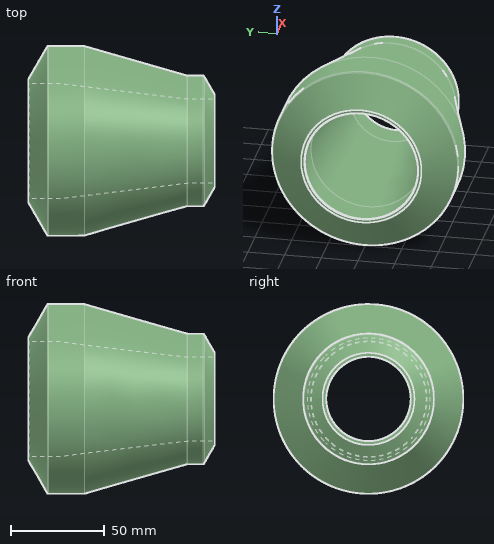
import cadquery as cq
import math

length = 100.0
large_diameter = 101.6
small_diameter = 70.0
large_bore = 61.6
small_bore = 45.0
corner_radius = 0.8
neck_radius = 1.2
root_face = 2.0
mouth_chamfer = 0.3
small_root_face = 2.1
bevel_angle = 30.0
taper_start = 30.1
taper_end = 85.0
bore_taper_start = 16.8
bore_taper_end = 85.0

large_radius = large_diameter / 2
small_radius = small_diameter / 2
large_face_radius = large_bore / 2 + root_face
small_face_radius = small_bore / 2 + small_root_face
bevel_slope = math.tan(math.radians(bevel_angle))
large_bevel_length = (large_radius - large_face_radius) * bevel_slope
small_bevel_length = (small_radius - small_face_radius) * bevel_slope


def round_ring(solid, x, radius, fillet_radius):
    """Round the circular outer edge of the given radius that lies at x."""
    margin = 0.1
    selection = cq.selectors.BoxSelector(
        (x - margin, -radius - margin, -radius - margin),
        (x + margin, radius + margin, radius + margin),
        boundingbox=True,
    )
    ring = solid.edges(selection).edges(cq.selectors.RadiusNthSelector(-1))
    return ring.fillet(fillet_radius)


section = (
    cq.Workplane("XY")
    .moveTo(0, large_face_radius)
    .lineTo(large_bevel_length, large_radius)
    .lineTo(taper_start, large_radius)
    .lineTo(taper_end, small_radius)
    .lineTo(length - small_bevel_length, small_radius)
    .lineTo(length, small_face_radius)
    .lineTo(length, small_bore / 2)
    .lineTo(bore_taper_end, small_bore / 2)
    .lineTo(bore_taper_start, large_bore / 2)
    .lineTo(mouth_chamfer, large_bore / 2)
    .lineTo(0, large_bore / 2 + mouth_chamfer)
    .close()
)
body = section.revolve(360, (0, 0, 0), (1, 0, 0))

result = round_ring(body, large_bevel_length, large_radius, corner_radius)
result = round_ring(result, taper_end, small_radius, neck_radius)
result = round_ring(result, length - small_bevel_length, small_radius, corner_radius)